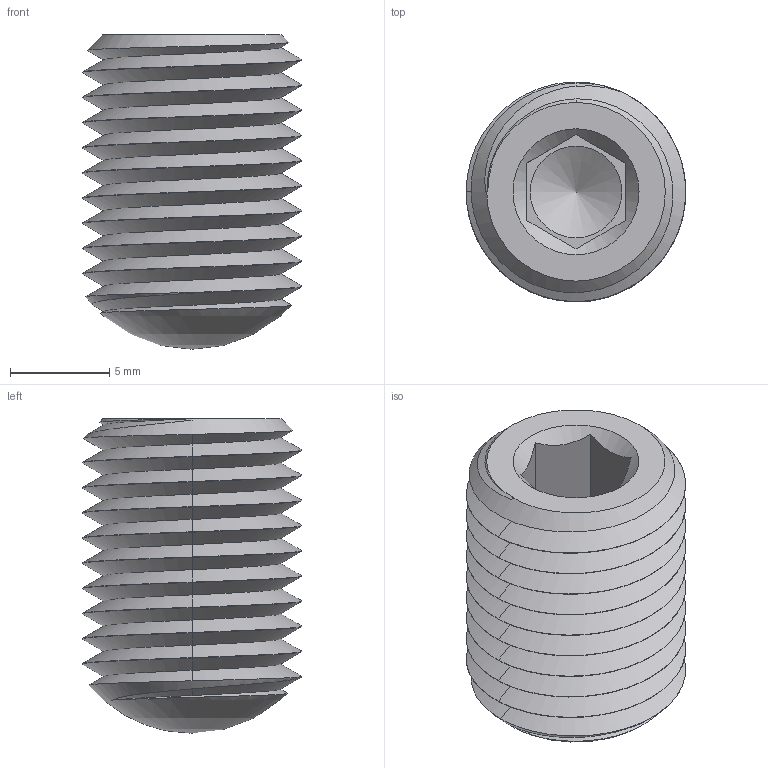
import cadquery as cq
import math

INCH = 25.4
nominal_radius = 7 / 16 * INCH / 2
length = 5 / 8 * INCH
pitch = INCH / 20
crest_gap = 0.01
mouth_clearance = 0.006
flank_angle = math.radians(30)
top_face_radius = 4.51
point_radius = 6.78

hex_across_flats = 5.0
hex_depth = nominal_radius
countersink_radius = 3.18
drill_radius = 2.31
drill_point_half_angle = math.radians(60)

groove_half_width = (pitch - crest_gap) / 2
root_radius = nominal_radius - pitch / 2 / math.tan(flank_angle)
groove_mouth_radius = root_radius + groove_half_width / math.tan(flank_angle)
groove_turns = 12
body_radius = groove_mouth_radius - mouth_clearance


def make_blank():
    """Plain screw body with a 45 degree top chamfer and a spherical point."""
    chamfer = body_radius - top_face_radius
    dome_height = point_radius - math.sqrt(point_radius**2 - body_radius**2)
    mid_height = point_radius - math.sqrt(point_radius**2 - (body_radius / 2) ** 2)
    return (
        cq.Workplane("YZ")
        .threePointArc((body_radius / 2, mid_height), (body_radius, dome_height))
        .lineTo(body_radius, length - chamfer)
        .lineTo(top_face_radius, length)
        .lineTo(0, length)
        .close()
        .revolve(360, (0, 0), (0, 1))
    )


def helix_turn(radius, start_height):
    """One right-handed helix turn that starts on the -X side at start_height."""
    turn = cq.Wire.makeHelix(pitch, pitch, radius)
    turn = turn.rotate(cq.Vector(0, 0, 0), cq.Vector(0, 0, 1), 180)
    return turn.translate(cq.Vector(0, 0, start_height)).Edges()[0]


def groove_side_faces(start_height):
    """Two flanks and the outer closing face of one groove turn."""
    root = helix_turn(root_radius, start_height)
    lower = helix_turn(groove_mouth_radius, start_height - groove_half_width)
    upper = helix_turn(groove_mouth_radius, start_height + groove_half_width)
    return [
        cq.Face.makeRuledSurface(root, lower),
        cq.Face.makeRuledSurface(lower, upper),
        cq.Face.makeRuledSurface(upper, root),
    ]


def groove_end_face(height):
    """Flat triangular end of the groove, on the -X side with its root at the given height."""
    corners = [
        cq.Vector(-root_radius, 0, height),
        cq.Vector(-groove_mouth_radius, 0, height - groove_half_width),
        cq.Vector(-groove_mouth_radius, 0, height + groove_half_width),
    ]
    return cq.Face.makeFromWires(cq.Wire.makePolygon(corners, close=True))


def make_groove():
    """Helical V-shaped solid that cuts the thread, built turn by turn from the top face down."""
    faces = [groove_end_face(length)]
    for turn in range(1, groove_turns + 1):
        faces.extend(groove_side_faces(length - turn * pitch))
    faces.append(groove_end_face(length - groove_turns * pitch))
    return cq.Workplane(obj=cq.Solid.makeSolid(cq.Shell.makeShell(faces)))


def make_socket():
    """Hexagon socket with a 45 degree countersink above and a conical drill point below."""
    hex_corner_radius = hex_across_flats / 2 / math.cos(math.radians(30))
    hexagon = (
        cq.Workplane("XY")
        .workplane(offset=length - hex_depth)
        .transformed(rotate=(0, 0, 90))
        .polygon(6, 2 * hex_corner_radius)
        .extrude(hex_depth)
    )
    countersink = cq.Workplane(obj=cq.Solid.makeCone(
        0, countersink_radius, countersink_radius,
        pnt=cq.Vector(0, 0, length - countersink_radius),
    ))
    drill_point_depth = drill_radius / math.tan(drill_point_half_angle)
    drill_point = cq.Workplane(obj=cq.Solid.makeCone(
        0, drill_radius, drill_point_depth,
        pnt=cq.Vector(0, 0, length - hex_depth - drill_point_depth),
    ))
    return hexagon.union(countersink).union(drill_point)


result = make_blank().cut(make_groove()).cut(make_socket())